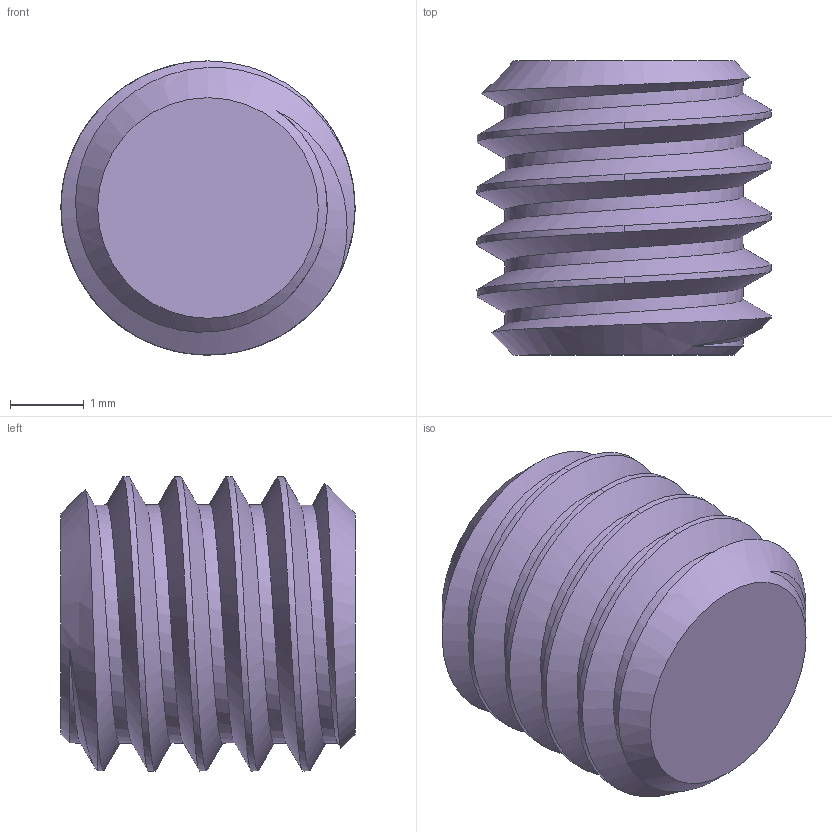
import cadquery as cq
import math

length = 4.0
major_radius = 2.0
pitch = 0.7
end_face_radius = 1.5
chamfer = major_radius - end_face_radius

half_flank_angle = math.radians(30)
sharp_vee_height = pitch / (2 * math.tan(half_flank_angle))
minor_radius = major_radius - 5 / 8 * sharp_vee_height
root_half_width = pitch / 8

cutter_overshoot = 0.03
cutter_radius = major_radius + cutter_overshoot
cutter_half_width = root_half_width + (cutter_radius - minor_radius) * math.tan(half_flank_angle)

groove_crossing = 0.94
turns_below_crossing = 5
groove_turns = 7.75
groove_start = groove_crossing - turns_below_crossing * pitch


def make_blank():
    """Cylinder along Y with a chamfer at each end."""
    half_length = length / 2
    half_profile = [
        (-half_length, 0),
        (-half_length, end_face_radius),
        (-half_length + chamfer, major_radius),
        (half_length - chamfer, major_radius),
        (half_length, end_face_radius),
        (half_length, 0),
    ]
    return cq.Workplane("YZ").polyline(half_profile).close().revolve(360, (0, 0), (1, 0))


def make_thread_cutter():
    """Right-hand helical groove along Y, running past both ends of the blank."""
    helix = cq.Wire.makeHelix(pitch, groove_turns * pitch, minor_radius)
    groove_section = [
        (minor_radius, -root_half_width),
        (cutter_radius, -cutter_half_width),
        (cutter_radius, cutter_half_width),
        (minor_radius, root_half_width),
    ]
    section = cq.Workplane("XZ").polyline(groove_section).close()
    cutter = section.sweep(cq.Workplane(helix), isFrenet=True)
    along_y = cutter.rotate((0, 0, 0), (1, 0, 0), -90)
    return along_y.translate((0, groove_start, 0))


result = make_blank().cut(make_thread_cutter()).solids()